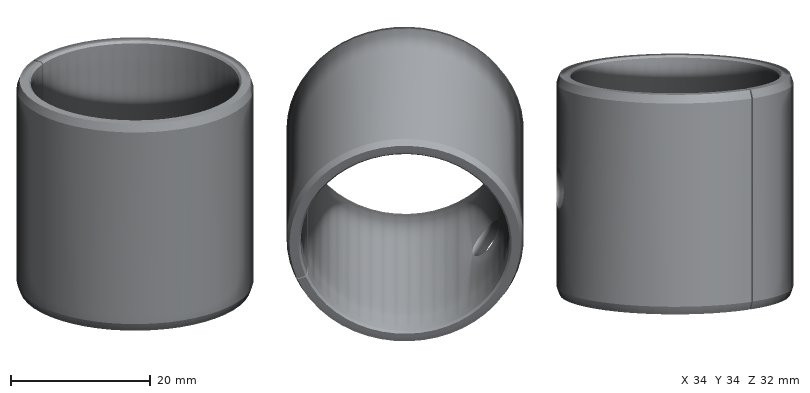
import cadquery as cq
import math

outer_diameter = 34.0
inner_diameter = 30.0
height = 32.0

outer_chamfer_height = 1.2
outer_chamfer_angle = 20.0
inner_chamfer = 0.3

gap_angle = 1.0

oil_hole_diameter = 6.0
oil_hole_angle = 59.0

outer_radius = outer_diameter / 2
inner_radius = inner_diameter / 2
outer_chamfer_depth = outer_chamfer_height * math.tan(math.radians(outer_chamfer_angle))


def make_sleeve():
    """Revolve the chamfered wall section around Z, leaving the joint open."""
    end_outer_radius = outer_radius - outer_chamfer_depth
    end_inner_radius = inner_radius + inner_chamfer
    section = [
        (end_inner_radius, 0),
        (end_outer_radius, 0),
        (outer_radius, outer_chamfer_height),
        (outer_radius, height - outer_chamfer_height),
        (end_outer_radius, height),
        (end_inner_radius, height),
        (inner_radius, height - inner_chamfer),
        (inner_radius, inner_chamfer),
    ]
    return (
        cq.Workplane("XZ")
        .polyline(section)
        .close()
        .revolve(360 - gap_angle, (0, 0), (0, 1))
        .rotate((0, 0, 0), (0, 0, 1), 180)
    )


def make_oil_hole():
    """Cylindrical cutter from the axis outward through one wall."""
    return (
        cq.Workplane("YZ", origin=(0, 0, height / 2))
        .circle(oil_hole_diameter / 2)
        .extrude(outer_diameter)
        .rotate((0, 0, 0), (0, 0, 1), oil_hole_angle)
    )


result = make_sleeve().cut(make_oil_hole())